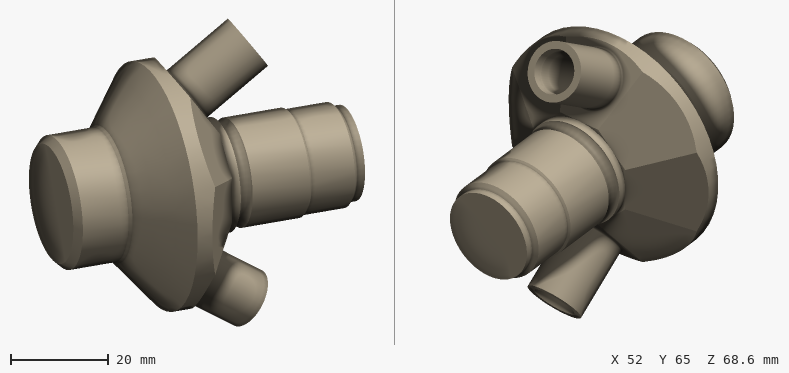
import cadquery as cq
import math

length = 65.0
overall_height = 68.6

nose_radius = 14.0
nose_chamfer = 1.5
nose_end_y = 11.5
cone_start_y = 12.3
cone_start_radius = 14.35
flange_radius = 26.0
flange_front_y = 22.0

facet_count = 8
facet_angle = 55.0
facet_end_y = 35.05

collar_radius = 12.0
collar_end_y = 37.0
groove_rim_radius = 11.8
groove_radius = 10.8
groove_bottom_y = 38.3
groove_end_y = 39.8
body_radius = 11.45
body_end_y = 52.4
shank_radius = 11.01
shank_start_y = 52.95
shank_end_y = 62.4
tip_radius = 10.0
tip_start_y = 63.4

tube_radius = 12.7 / 2
tube_end_y = 43.2
tube_fillet = 0.4
tube_root = 0.7
bore_radius = 9.0 / 2
bore_mouth_radius = 4.7
bore_taper_depth = 2.3

facet_radians = math.radians(facet_angle)
facet_slope = math.tan(facet_radians)
facet_base_radius = collar_radius + (facet_end_y - flange_front_y) * facet_slope
tube_end_z = overall_height / 2 - tube_radius * math.sin(facet_radians)
tube_direction_y = math.sin(facet_radians)
tube_direction_z = math.cos(facet_radians)
tube_length = (
    (tube_end_y - facet_end_y) * tube_direction_y
    + (tube_end_z - collar_radius) * tube_direction_z
)


def turned(profile):
    """Revolve a closed (radius, y) profile about the main axis."""
    return profile.close().revolve(360, (0, 0, 0), (0, 1, 0))


def nose_and_flange():
    """Chamfered nose, cone and flange, with the flange left full to its back."""
    return turned(
        cq.Workplane("XY")
        .lineTo(nose_radius - nose_chamfer, 0)
        .lineTo(nose_radius, nose_chamfer)
        .lineTo(nose_radius, nose_end_y)
        .lineTo(cone_start_radius, cone_start_y)
        .lineTo(flange_radius, flange_front_y)
        .lineTo(flange_radius, facet_end_y)
        .lineTo(0, facet_end_y)
    )


def facet_envelope():
    """Octagonal frustum with a solid front block that leaves the nose whole."""

    def octagon(y, apothem):
        corner_radius = apothem / math.cos(math.pi / facet_count)
        points = []
        for index in range(facet_count):
            angle = (index + 0.5) * 2 * math.pi / facet_count
            points.append(cq.Vector(corner_radius * math.cos(angle), y, corner_radius * math.sin(angle)))
        return cq.Wire.makePolygon(points, close=True)

    wires = [octagon(flange_front_y, facet_base_radius), octagon(facet_end_y, collar_radius)]
    frustum = cq.Workplane(obj=cq.Solid.makeLoft(wires, True))
    front_block = cq.Workplane("XZ").circle(facet_base_radius).extrude(-flange_front_y)
    return frustum.union(front_block)


def spigot():
    """Collar, relief groove, body, shank and stepped tip behind the flange."""
    return turned(
        cq.Workplane("XY")
        .moveTo(0, flange_front_y)
        .lineTo(collar_radius, flange_front_y)
        .lineTo(collar_radius, collar_end_y)
        .lineTo(groove_rim_radius, collar_end_y)
        .threePointArc((groove_radius, groove_bottom_y), (body_radius, groove_end_y))
        .lineTo(body_radius, body_end_y)
        .lineTo(shank_radius, shank_start_y)
        .lineTo(shank_radius, shank_end_y)
        .lineTo(tip_radius, tip_start_y)
        .lineTo(tip_radius, length)
        .lineTo(0, length)
    )


def side_tube(side):
    """Blind tapered-mouth tube with a filleted foot; side is +1 (top) or -1 (bottom)."""
    plane = cq.Plane(
        origin=(0, tube_end_y, side * tube_end_z),
        xDir=(1, 0, 0),
        normal=(0, -tube_direction_y, -side * tube_direction_z),
    )
    profile_plane = cq.Plane(origin=plane.origin, xDir=plane.xDir, normal=plane.xDir.cross(plane.zDir))
    foot_radius = tube_radius + tube_fillet
    arc_offset = tube_fillet * math.sqrt(0.5)
    arc_middle = (foot_radius - arc_offset, tube_length - tube_fillet + arc_offset)
    return (
        cq.Workplane(profile_plane)
        .moveTo(bore_mouth_radius, 0)
        .lineTo(tube_radius, 0)
        .lineTo(tube_radius, tube_length - tube_fillet)
        .threePointArc(arc_middle, (foot_radius, tube_length))
        .lineTo(tube_radius, tube_length + tube_root)
        .lineTo(0, tube_length + tube_root)
        .lineTo(0, tube_length)
        .lineTo(bore_radius, tube_length)
        .lineTo(bore_radius, bore_taper_depth)
        .close()
        .revolve(360, (0, 0, 0), (0, 1, 0))
    )


result = nose_and_flange().intersect(facet_envelope()).union(spigot())
for side in (1, -1):
    result = result.union(side_tube(side))